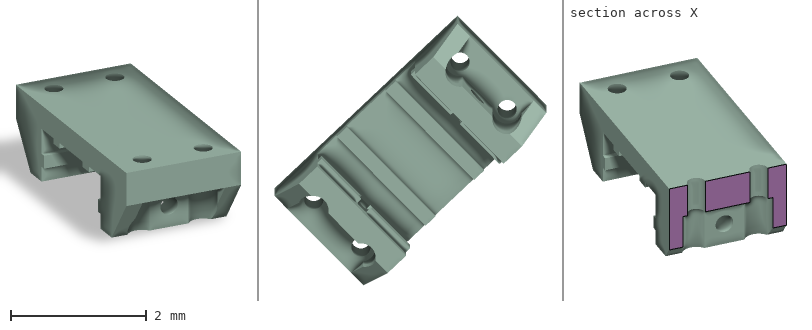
import cadquery as cq

length = 3.75
width = 1.88
height = 1.22

roof_thickness = 0.375
channel_half_width = 1.0
leg_thickness = 0.375
side_face_height = 0.53
leg_outer_x = channel_half_width + leg_thickness
chamfer_top_z = height - side_face_height
channel_height = height - roof_thickness

rib_width = 0.205
rib_depth = 0.085
roof_rib_x = 0.5

hole_diameter = 0.28
mount_hole_x = 1.5
mount_hole_y = 0.5
cross_hole_z = 0.34
relief_diameter = 0.435
recess_half_width = 0.675


def make_body():
    """Channel profile with tapered legs, extruded along Y."""
    half_length = length / 2
    outline = [
        (-half_length, height),
        (half_length, height),
        (half_length, chamfer_top_z),
        (leg_outer_x, 0),
        (channel_half_width, 0),
        (channel_half_width, channel_height),
        (-channel_half_width, channel_height),
        (-channel_half_width, 0),
        (-leg_outer_x, 0),
        (-half_length, chamfer_top_z),
    ]
    return cq.Workplane("XZ").polyline(outline).close().extrude(width / 2, both=True)


def make_roof_rib(side):
    """Rib hanging from the channel roof, along the full width."""
    center_z = channel_height - rib_depth / 2
    return cq.Workplane("XY").box(rib_width, width, rib_depth).translate((side * roof_rib_x, 0, center_z))


def make_leg_rib(side):
    """Rib on the inner leg wall, level with the cross hole."""
    center_x = channel_half_width - rib_depth / 2
    return cq.Workplane("XY").box(rib_depth, width, rib_width).translate((side * center_x, 0, cross_hole_z))


def make_screw_recess(side):
    """Recess through the tapered face, with round reliefs around the mounting holes."""
    depth = length / 2 - leg_outer_x
    center_x = side * (leg_outer_x + depth / 2)
    pocket = (
        cq.Workplane("XY")
        .center(center_x, 0)
        .rect(depth, 2 * recess_half_width)
        .extrude(chamfer_top_z)
    )
    reliefs = (
        cq.Workplane("XY")
        .pushPoints([(side * mount_hole_x, -mount_hole_y), (side * mount_hole_x, mount_hole_y)])
        .circle(relief_diameter / 2)
        .extrude(chamfer_top_z)
    )
    return pocket.union(reliefs)


body = make_body()
for side in (-1, 1):
    body = body.union(make_roof_rib(side)).union(make_leg_rib(side))
    body = body.cut(make_screw_recess(side))

mount_holes = (
    cq.Workplane("XY")
    .rarray(2 * mount_hole_x, 2 * mount_hole_y, 2, 2)
    .circle(hole_diameter / 2)
    .extrude(height)
)

cross_hole = (
    cq.Workplane("YZ")
    .center(0, cross_hole_z)
    .circle(hole_diameter / 2)
    .extrude(length / 2, both=True)
)

result = body.cut(mount_holes).cut(cross_hole)